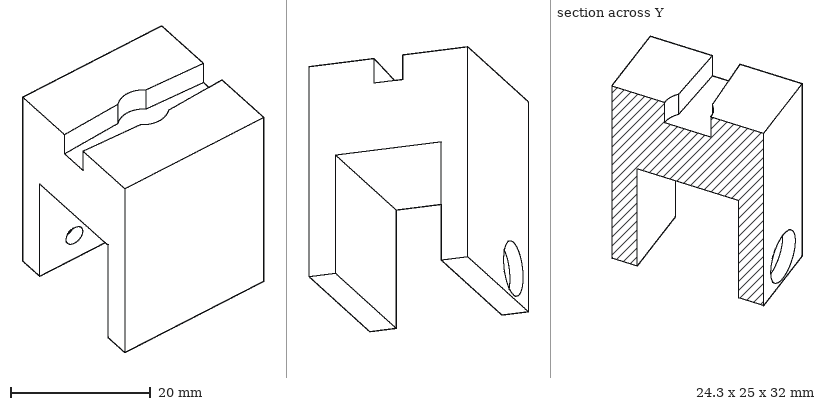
import cadquery as cq

width = 24.3
depth = 25.0
height = 32

leg_thickness = 4.05
channel_height = 18.0

groove_depth = 3.75
groove_end_width = 4.4
groove_middle_width = 5.38
groove_middle_half_length = 2.55
pocket_radius = 3.68

hole_from_front = 6.25
hole_height = 4.5
hole_diameter = 3.0
counterbore_diameter = 8
counterbore_depth = 2.0


def make_body():
    """Block with a channel cut along Y, leaving two legs."""
    block = cq.Workplane("XY").box(width, depth, height, centered=(True, True, False))
    channel = cq.Workplane("XY").box(
        width - 2 * leg_thickness, depth, channel_height, centered=(True, True, False)
    )
    return block.cut(channel)


def make_groove():
    """Groove that widens toward its middle, joined with the round pocket."""
    end_x = groove_end_width / 2
    middle_x = groove_middle_width / 2
    end_y = depth / 2
    middle_y = groove_middle_half_length
    floor = cq.Workplane("XY").workplane(offset=height - groove_depth)
    right_side = [
        (end_x, -end_y),
        (middle_x, -middle_y),
        (middle_x, middle_y),
        (end_x, end_y),
    ]
    left_side = [(-x, -y) for x, y in right_side]
    groove = floor.polyline(right_side + left_side).close().extrude(groove_depth)
    pocket = floor.circle(pocket_radius).extrude(groove_depth)
    return groove.union(pocket)


def make_screw_hole():
    """Through hole in the -X leg with a counterbore on the outer face."""
    outer_face = cq.Workplane(
        "YZ", origin=(-width / 2, hole_from_front - depth / 2, hole_height)
    )
    hole = outer_face.circle(hole_diameter / 2).extrude(leg_thickness)
    counterbore = outer_face.circle(counterbore_diameter / 2).extrude(counterbore_depth)
    return hole.union(counterbore)


result = make_body().cut(make_groove()).cut(make_screw_hole())